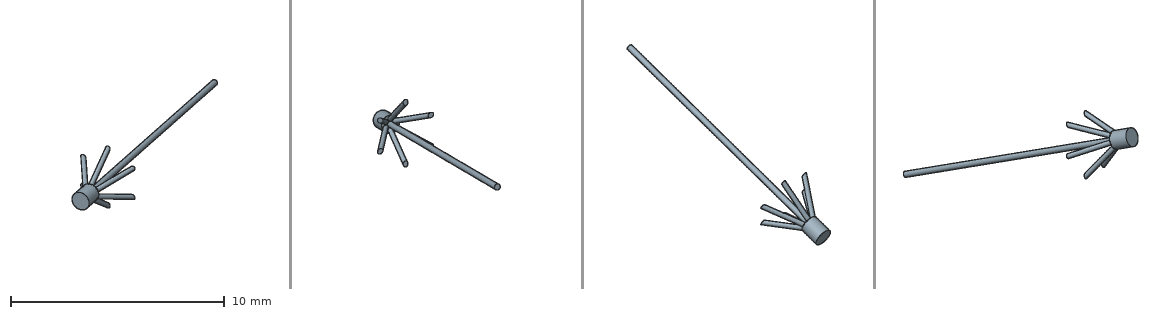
import cadquery as cq
import math

total_length = 13.7
hub_diameter = 0.9
hub_length = 1.0
shaft_diameter = 0.3

prong_count = 6
prong_diameter = 0.25
prong_end_y = 2.8
prong_span = 3.27
prong_root_radius = 0.29

prong_rise = prong_end_y - hub_length
approximate_run = (prong_span - prong_diameter) / 2 - prong_root_radius
splay_angle = math.atan2(approximate_run, prong_rise)
tip_half_width = prong_diameter / 2 / math.cos(splay_angle)
prong_tip_radius = prong_span / 2 - tip_half_width


def cylinder_along_y(diameter, start_y, end_y):
    """Cylinder on the Y axis between two stations."""
    circle = cq.Workplane("XZ", origin=(0, start_y, 0)).circle(diameter / 2)
    return circle.extrude(start_y - end_y)


def make_prong():
    """Prong leaning towards +Z, long enough to be trimmed at both ends."""
    root = cq.Vector(0, hub_length, prong_root_radius)
    tip = cq.Vector(0, prong_end_y, prong_tip_radius)
    direction = (tip - root).normalized()
    start = root - direction * prong_diameter
    length = (tip - root).Length + 2 * prong_diameter
    rod = cq.Solid.makeCylinder(prong_diameter / 2, length, start, direction)
    trim = cylinder_along_y(2 * prong_span, hub_length - prong_diameter, prong_end_y)
    return cq.Workplane(rod).intersect(trim)


hub = cylinder_along_y(hub_diameter, 0, hub_length)
shaft = cylinder_along_y(shaft_diameter, 0, total_length)
result = hub.union(shaft)

prong = make_prong()
for index in range(prong_count):
    angle = index * 360 / prong_count
    result = result.union(prong.rotate((0, 0, 0), (0, 1, 0), angle))